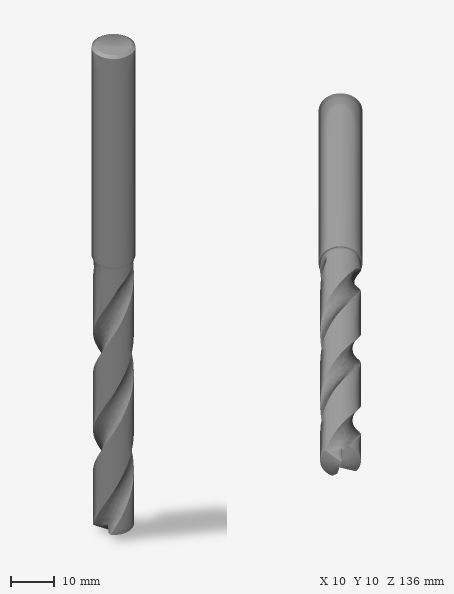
import cadquery as cq
import math

ORIGIN = cq.Vector(0, 0, 0)
DRILL_AXIS = cq.Vector(0, 0, 1)
TOTAL_LENGTH = 136.0
SHANK_RADIUS = 5.0
DRILL_RADIUS = 4.69
SHANK_START = 77.0
CUTTING_LENGTH = 57.1
END_CHAMFER_WIDTH = 0.8
END_CHAMFER_HEIGHT = 0.5
POINT_ANGLE = 140.0
POINT_HEIGHT = DRILL_RADIUS / math.tan(math.radians(POINT_ANGLE / 2))

FLUTE_COUNT = 2
FLUTE_PITCH = 54.7
FLUTE_RADIUS = 4.1
WEB_RADIUS = 2.7
FLUTE_CENTRE_RADIUS = WEB_RADIUS + FLUTE_RADIUS
FLUTE_START = -0.8
FLUTE_END = 70.9
FLUTE_START_ANGLE = -90.0
FLUTE_TWIST = 360 * (FLUTE_END - FLUTE_START) / FLUTE_PITCH
RUNOUT_HEIGHT = 7.5
RUNOUT_ANGLE = 47.0

GASH_ROOT = cq.Vector(0.5, -0.4, 0)
GASH_RUN = cq.Vector(1.4, -2.6, 4.2)
GASH_LEFT_SIDE = cq.Vector(-3.0, -0.7, -2.6)
GASH_RIGHT_SIDE = cq.Vector(0.7, -0.3, -1.9)
GASH_SIDE_SCALE = 3
GASH_RUN_SCALE = 1.5


def flute_section(height):
    """Circular outline of a flute, off the drill axis towards +X."""
    centre = cq.Vector(FLUTE_CENTRE_RADIUS, 0, height)
    return cq.Wire.makeCircle(FLUTE_RADIUS, centre, DRILL_AXIS)


def flute_cutters(start_angle):
    """Helical and straight parts of a flute, leaving the drill along a straight tangent at its upper end."""
    section = flute_section(FLUTE_START)
    axis_start = cq.Vector(0, 0, FLUTE_START)
    axis_run = cq.Vector(0, 0, FLUTE_END - FLUTE_START)
    helix = cq.Solid.extrudeLinearWithRotation(section, [], axis_start, axis_run, FLUTE_TWIST)

    tangent_run = RUNOUT_HEIGHT * math.tan(math.radians(RUNOUT_ANGLE))
    runout = cq.Solid.extrudeLinear(flute_section(FLUTE_END), [], cq.Vector(0, tangent_run, RUNOUT_HEIGHT))
    runout = runout.rotate(ORIGIN, DRILL_AXIS, FLUTE_TWIST)
    return [
        cutter.rotate(ORIGIN, DRILL_AXIS, start_angle)
        for cutter in (helix, runout)
    ]


def gash_cutter(turn):
    """Triangular prism whose lower edges open through the point cone."""
    corners = [
        GASH_ROOT,
        GASH_ROOT + GASH_LEFT_SIDE * GASH_SIDE_SCALE,
        GASH_ROOT + GASH_RIGHT_SIDE * GASH_SIDE_SCALE,
    ]
    section = cq.Wire.makePolygon(corners, close=True)
    prism = cq.Solid.extrudeLinear(section, [], GASH_RUN * GASH_RUN_SCALE)
    return prism.rotate(ORIGIN, DRILL_AXIS, turn)


def revolved(profile_points):
    """Solid of revolution about Z from (radius, height) points."""
    return (
        cq.Workplane("XZ")
        .polyline(profile_points)
        .close()
        .revolve(360, (0, 0), (0, 1))
    )


cutting_head = revolved([
    (0, 0),
    (DRILL_RADIUS, POINT_HEIGHT),
    (DRILL_RADIUS, CUTTING_LENGTH),
    (0, CUTTING_LENGTH),
])

shank = revolved([
    (0, CUTTING_LENGTH),
    (DRILL_RADIUS, CUTTING_LENGTH),
    (DRILL_RADIUS, SHANK_START),
    (SHANK_RADIUS, SHANK_START),
    (SHANK_RADIUS, TOTAL_LENGTH - END_CHAMFER_HEIGHT),
    (SHANK_RADIUS - END_CHAMFER_WIDTH, TOTAL_LENGTH),
    (0, TOTAL_LENGTH),
])

for index in range(FLUTE_COUNT):
    turn = index * 360 / FLUTE_COUNT
    helix, runout = flute_cutters(FLUTE_START_ANGLE + turn)
    cutting_head = cutting_head.cut(cq.Workplane(helix)).cut(cq.Workplane(gash_cutter(turn)))
    shank = shank.cut(cq.Workplane(helix)).cut(cq.Workplane(runout))

result = cq.Compound.makeCompound([cutting_head.val(), shank.val()])